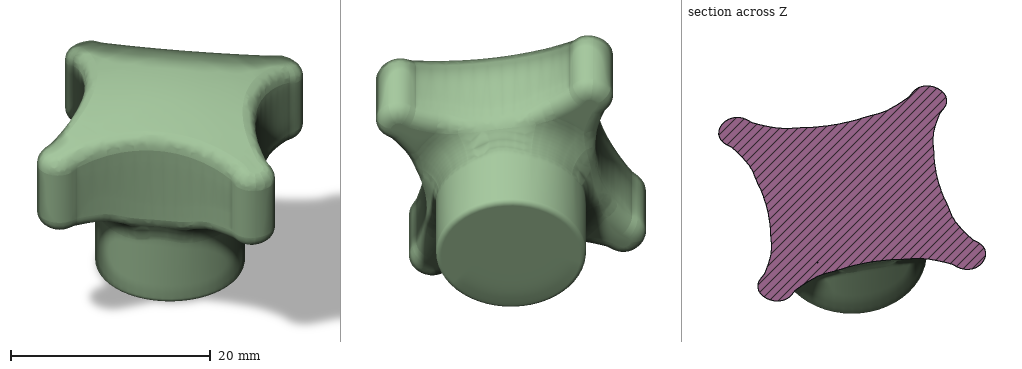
import cadquery as cq
import math

HEIGHT = 21.0
UNDERSIDE_Z = 10.0

ARM_COUNT = 4
ARM_STEP = 360 / ARM_COUNT
TIP_DISTANCE = 16.0
TIP_ARC_RADIUS = 2.5
CORNER_RADIUS = 2.05
ARM_HALF_WIDTH = 2.25
FLANK_START = 13.25
VALLEY_RADIUS = 15.0

DOME_RADIUS = 45.0
GRIP_EDGE_RADIUS = 1.5

HUB_DIAMETER = 15.0
HUB_RADIUS = HUB_DIAMETER / 2
HUB_EDGE_RADIUS = 0.5
FLARE_RADIUS = 3.0
FLARE_MID_ANGLE = 135
FLARE_BASE_Z = UNDERSIDE_Z - FLARE_RADIUS
FLARE_CENTRE_RADIUS = HUB_RADIUS + FLARE_RADIUS
VALLEY_SECTIONS = 13

CUTTER_RADIUS = TIP_DISTANCE + 3.2
CUTTER_BASE_Z = FLARE_BASE_Z - 1.6
CUTTER_INNER_RADIUS = HUB_RADIUS - 0.95
UPRIGHT_TOLERANCE = 1e-6


def polar(radius, angle):
    """Point at a distance from the axis and an angle in degrees."""
    return radius * math.cos(math.radians(angle)), radius * math.sin(math.radians(angle))


def turn(point, angle):
    """Rotate a point about the axis by an angle in degrees."""
    c, s = polar(1, angle)
    x, y = point
    return x * c - y * s, x * s + y * c


valley_angle = ARM_STEP / 2
flank_along, flank_across = turn((FLANK_START, ARM_HALF_WIDTH), -valley_angle)
valley_centre_distance = flank_along + math.sqrt(VALLEY_RADIUS**2 - flank_across**2)
valley_floor_distance = valley_centre_distance - VALLEY_RADIUS


def arm_half_points():
    """Points on the +Y half of the +X arm: tip arc end, corner middle, corner end, flank start."""
    tip_centre = TIP_DISTANCE - TIP_ARC_RADIUS
    corner_y = ARM_HALF_WIDTH - CORNER_RADIUS
    corner_x = tip_centre + math.sqrt((TIP_ARC_RADIUS - CORNER_RADIUS)**2 - corner_y**2)
    tip_arc_angle = math.degrees(math.atan2(corner_y, corner_x - tip_centre))

    def on_corner(angle):
        dx, dy = polar(CORNER_RADIUS, angle)
        return corner_x + dx, corner_y + dy

    return (
        on_corner(tip_arc_angle),
        on_corner((tip_arc_angle + 90) / 2),
        on_corner(90),
        (FLANK_START, ARM_HALF_WIDTH),
    )


def grip_prism():
    """Straight-sided star, from the base of the flare to the crown."""
    tip_end, corner_mid, corner_end, flank_start = arm_half_points()

    def mirrored(point):
        return point[0], -point[1]

    outline = cq.Workplane("XY", origin=(0, 0, FLARE_BASE_Z)).moveTo(*mirrored(flank_start))
    for arm in range(ARM_COUNT):
        angle = arm * ARM_STEP
        next_arm = angle + ARM_STEP
        outline = (
            outline
            .lineTo(*turn(mirrored(corner_end), angle))
            .threePointArc(turn(mirrored(corner_mid), angle), turn(mirrored(tip_end), angle))
            .threePointArc(turn((TIP_DISTANCE, 0), angle), turn(tip_end, angle))
            .threePointArc(turn(corner_mid, angle), turn(corner_end, angle))
            .lineTo(*turn(flank_start, angle))
            .threePointArc(
                polar(valley_floor_distance, angle + valley_angle),
                turn(mirrored(flank_start), next_arm),
            )
        )
    return outline.close().extrude(HEIGHT - FLARE_BASE_Z)


def flare_centre_z(angle):
    """Height of the flare arc's centre; in a valley the arc rises to pass through the lower wall edge."""
    x, y = polar(FLARE_CENTRE_RADIUS, angle - valley_angle)
    gap = VALLEY_RADIUS - math.hypot(x - valley_centre_distance, y)
    return UNDERSIDE_Z - math.sqrt(FLARE_RADIUS**2 - max(gap, 0)**2)


def flare_section(angle):
    """Radial section of the space below the grip: flare arc, then flat underside."""
    centre_z = flare_centre_z(angle)
    ceiling_z = centre_z + FLARE_RADIUS
    arc_dx, arc_dz = polar(FLARE_RADIUS, FLARE_MID_ANGLE)
    radial_plane = cq.Plane(origin=(0, 0, 0), xDir=(*polar(1, angle), 0), normal=(*polar(1, angle - 90), 0))
    return (
        cq.Workplane(radial_plane)
        .moveTo(CUTTER_INNER_RADIUS, CUTTER_BASE_Z)
        .lineTo(HUB_RADIUS, centre_z)
        .threePointArc(
            (FLARE_CENTRE_RADIUS + arc_dx, centre_z + arc_dz),
            (FLARE_CENTRE_RADIUS, ceiling_z),
        )
        .lineTo(CUTTER_RADIUS, ceiling_z)
        .lineTo(CUTTER_RADIUS, CUTTER_BASE_Z)
        .close()
    )


def underside_cutters():
    """Cutters for one arm and one valley; they meet where the flare reaches the star outline."""
    cos_to_valley = (
        (FLARE_CENTRE_RADIUS**2 + valley_centre_distance**2 - VALLEY_RADIUS**2)
        / (2 * FLARE_CENTRE_RADIUS * valley_centre_distance)
    )
    arm_half_angle = valley_angle - math.degrees(math.acos(cos_to_valley))
    arm_cutter = flare_section(-arm_half_angle).revolve(2 * arm_half_angle, (0, 0, 0), (0, 1, 0))

    section_step = (ARM_STEP - 2 * arm_half_angle) / (VALLEY_SECTIONS - 1)
    sections = [
        flare_section(arm_half_angle + index * section_step).wire().val()
        for index in range(VALLEY_SECTIONS)
    ]
    valley_cutter = cq.Workplane(obj=cq.Solid.makeLoft(sections))
    return arm_cutter, valley_cutter


def is_grip_wall(face):
    """True for the upright side faces of the star."""
    centre = face.Center()
    return centre.z > UNDERSIDE_Z and abs(face.normalAt(centre).z) < UPRIGHT_TOLERANCE


dome = cq.Workplane("XY", origin=(0, 0, HEIGHT - DOME_RADIUS)).sphere(DOME_RADIUS)
grip = grip_prism().intersect(dome)
for cutter in underside_cutters():
    for arm in range(ARM_COUNT):
        grip = grip.cut(cutter.rotate((0, 0, 0), (0, 0, 1), arm * ARM_STEP))

hub = cq.Workplane("XY").circle(HUB_RADIUS).extrude(UNDERSIDE_Z).faces("<Z").edges().fillet(HUB_EDGE_RADIUS)
knob = grip.union(hub)

grip_walls = knob.newObject([face for face in knob.faces().vals() if is_grip_wall(face)])
result = grip_walls.edges("not |Z").fillet(GRIP_EDGE_RADIUS)